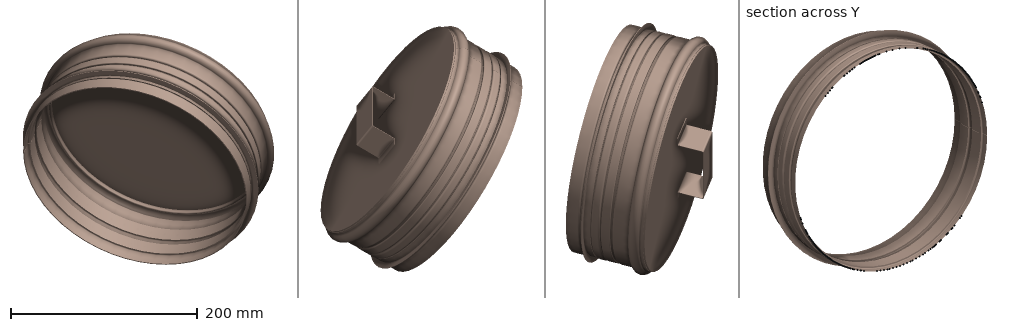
import cadquery as cq
import math


sheet = 1.2
pipe_radius = 251.6 / 2
pipe_length = 86.8

lip_groove = (13.0, 30.0)
band_groove = (35.5, 54.0)
groove_floor_radius = 247.0 / 2
groove_shoulder_radius = 2.0

bead_center_y = 76.6
bead_section_radius = 6.4
bead_crown_radius = 131.5
bead_root_fillet = 0.93

hem_nose_radius = sheet
hem_bore_radius = 119.5
hem_nose_y = 78.5

joint_gap = 0.3
joint_cut_depth = 16.0

lip_band = (16.0, 27.0)
lip_band_radius = 250.5 / 2
lip_radius = 264.5 / 2
lip_start_y = 19.0
lip_thickness = 0.5

band_seal = (39.5, 49.2)
band_seal_radius = pipe_radius
band_seal_fillet = 0.8

plate_rim_radius = 250.3 / 2
plate_front_y = 81.8
plate_back_y = 88.6

handle_width = 30.0
handle_half_span = 40.0
handle_half_length = 51.0
handle_back_y = 118.5
handle_thickness = 0.8
handle_inner_bend = 1.0


def spin(profile):
    """Revolve an open (radius, y) profile, closed by a straight line, about the Y axis."""
    return profile.close().revolve(360, (0, 0, 0), (0, 1, 0))


def ring(inner_radius, outer_radius, start_y, end_y):
    """Ring of rectangular section; an inner radius of zero gives a disc."""
    return spin(
        cq.Workplane("XY")
        .moveTo(inner_radius, start_y)
        .lineTo(outer_radius, start_y)
        .lineTo(outer_radius, end_y)
        .lineTo(inner_radius, end_y)
    )


def pipe_skin(inset):
    """Solid filling the pipe's outer skin after the skin is moved inward by `inset`."""
    wall = pipe_radius - inset
    floor = groove_floor_radius - inset
    shoulder = groove_shoulder_radius - inset
    shoulder_center = pipe_radius - groove_shoulder_radius
    mid_shoulder = shoulder / 2**0.5

    profile = cq.Workplane("XY").lineTo(wall, 0)
    for start, end in (lip_groove, band_groove):
        profile = (
            profile.lineTo(wall, start)
            .threePointArc(
                (shoulder_center + mid_shoulder, start + mid_shoulder),
                (shoulder_center, start + shoulder),
            )
            .lineTo(floor, start + shoulder)
            .lineTo(floor, end - shoulder)
            .lineTo(shoulder_center, end - shoulder)
            .threePointArc(
                (shoulder_center + mid_shoulder, end - mid_shoulder), (wall, end)
            )
        )

    section = bead_section_radius - inset
    section_center = bead_crown_radius - bead_section_radius
    root = bead_root_fillet + inset
    root_center = wall + root
    root_offset = math.sqrt((section + root) ** 2 - (root_center - section_center) ** 2)
    section_share = section / (section + root)
    tangent_radius = section_center + (root_center - section_center) * section_share
    tangent_offset = root_offset * section_share
    root_angle = math.atan2(root_offset, root_center - section_center) / 2
    mid_root_radius = root_center - root * math.cos(root_angle)
    mid_root_offset = root_offset - root * math.sin(root_angle)
    profile = (
        profile.lineTo(wall, bead_center_y - root_offset)
        .threePointArc(
            (mid_root_radius, bead_center_y - mid_root_offset),
            (tangent_radius, bead_center_y - tangent_offset),
        )
        .threePointArc(
            (section_center + section, bead_center_y),
            (tangent_radius, bead_center_y + tangent_offset),
        )
        .threePointArc(
            (mid_root_radius, bead_center_y + mid_root_offset),
            (wall, bead_center_y + root_offset),
        )
        .lineTo(wall, pipe_length)
        .lineTo(0, pipe_length)
    )
    return spin(profile)


def make_hem():
    """Inner wall with a half-round nose, joined to the pipe by a flange at the closed end."""
    nose_center = hem_bore_radius + hem_nose_radius
    outer_radius = nose_center + hem_nose_radius
    inner_wall = spin(
        cq.Workplane("XY")
        .moveTo(hem_bore_radius, hem_nose_y)
        .threePointArc((nose_center, hem_nose_y - hem_nose_radius), (outer_radius, hem_nose_y))
        .lineTo(outer_radius, pipe_length)
        .lineTo(hem_bore_radius, pipe_length)
    )
    flange = ring(hem_bore_radius, pipe_radius, pipe_length - sheet, pipe_length)
    return inner_wall.union(flange)


def make_pipe():
    """Rolled pipe, open along its joint; the half turn puts the start of the sweep at the joint."""
    tube = pipe_skin(0).cut(pipe_skin(sheet)).union(make_hem())
    tube = tube.rotate((0, 0, 0), (0, 1, 0), 180)
    joint = cq.Workplane("XY").box(
        joint_cut_depth, pipe_length, joint_gap, centered=(False, False, True)
    )
    return tube.cut(joint.translate((-bead_crown_radius - joint_gap, 0, 0)))


def make_lip_seal():
    band = ring(groove_floor_radius, lip_band_radius, *lip_band)
    lip = ring(groove_floor_radius, lip_radius, lip_start_y, lip_start_y + lip_thickness)
    return band.union(lip)


def make_band_seal():
    band = ring(groove_floor_radius, band_seal_radius, *band_seal)
    outer_rims = cq.selectors.RadiusNthSelector(-1)
    return band.edges("%CIRCLE").edges(outer_rims).fillet(band_seal_fillet)


def make_end_plate():
    plug = ring(0, hem_bore_radius, plate_front_y, pipe_length)
    rim = ring(0, plate_rim_radius, pipe_length, plate_back_y)
    return plug.union(rim)


def make_handle():
    """U-shaped strap with out-turned feet on the back of the plate."""
    inner_span = handle_half_span - handle_thickness
    foot_y = plate_back_y + handle_thickness
    grip_y = handle_back_y - handle_thickness
    outer_half = [
        (plate_back_y, handle_half_length),
        (foot_y, handle_half_length),
        (foot_y, handle_half_span),
        (handle_back_y, handle_half_span),
    ]
    inner_half = [(grip_y, inner_span), (plate_back_y, inner_span)]
    outer = outer_half + [(y, -z) for y, z in reversed(outer_half)]
    inner = [(y, -z) for y, z in reversed(inner_half)] + inner_half
    strap = cq.Workplane("YZ").polyline(outer + inner).close().extrude(handle_width / 2, both=True)

    outer_bend = handle_inner_bend + handle_thickness
    bends = [
        (handle_back_y, handle_half_span, outer_bend),
        (grip_y, inner_span, handle_inner_bend),
        (foot_y, handle_half_span, handle_inner_bend),
        (plate_back_y, inner_span, outer_bend),
    ]
    for y, z, radius in bends:
        for side in (-1, 1):
            corner = cq.NearestToPointSelector((0, y, side * z))
            strap = strap.edges("|X").edges(corner).fillet(radius)
    return strap


pipe = make_pipe()
lip_seal = make_lip_seal()
band_seal_ring = make_band_seal()
end_plate = make_end_plate()
handle = make_handle()

result = cq.Compound.makeCompound(
    [pipe.val(), lip_seal.val(), band_seal_ring.val(), end_plate.val(), handle.val()]
)